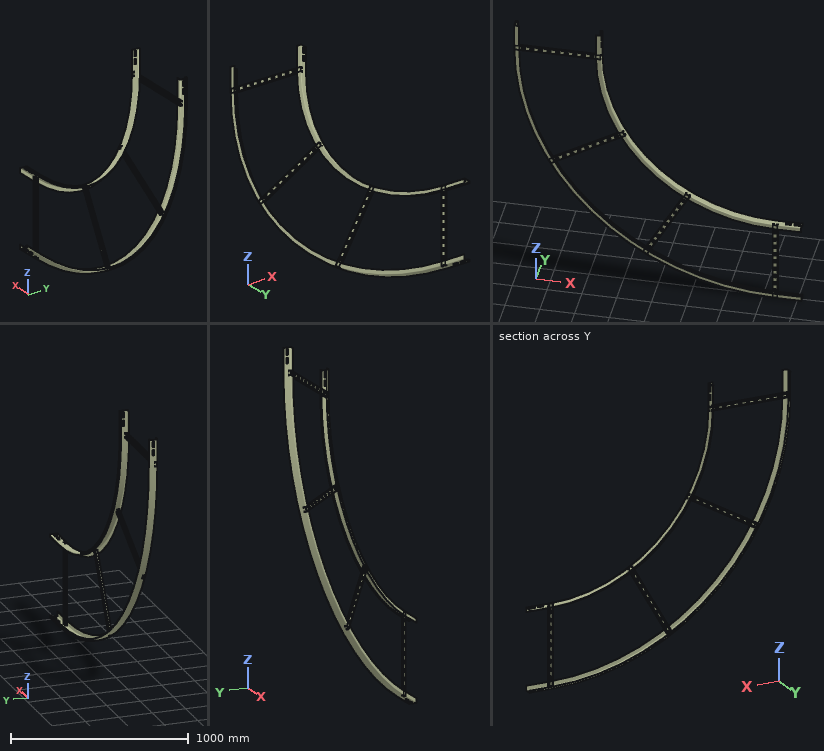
import cadquery as cq
overall_size = 1650.0
leg_length = 150.0
ladder_width = 500.0
outer_web_radius = overall_size - leg_length
inner_web_radius = outer_web_radius - ladder_width
bend_angle = 90.0

rail_height = 50.0
rail_wall = 2.0
front_flange_width = 30.0
back_flange_width = 13.0
back_lip_height = 8.0
inside_bend_radius = 2.0
outside_bend_radius = inside_bend_radius + rail_wall

web_slot_length = 33.0
web_slot_width = 10.0
web_slot_pitch = 50.0
web_slot_count = 2
web_slot_setback = 28.0

rung_count = 4
rung_width = 30.0
rung_depth = 15.0
rung_wall = 2.0
rung_lip = 7.0
rung_length = ladder_width - 2 * outside_bend_radius
rung_slot_length = 20.0
rung_slot_width = 7.0
rung_slot_pitch = 50.0
rung_slot_count = 9


def rail_section(web_radius, opening):
    """Channel section at x = -web_radius; opening is +1 or -1, the X direction it faces."""
    web_side = "<X" if opening > 0 else ">X"
    web_x = -web_radius
    outside_middle = web_x + opening * front_flange_width / 2
    section = (
        cq.Sketch()
        .push([(outside_middle, 0)])
        .rect(front_flange_width, rail_height)
        .reset()
        .vertices(web_side)
        .fillet(outside_bend_radius)
        .reset()
    )
    hollow = (
        cq.Sketch()
        .push([(outside_middle + opening * rail_wall, 0)])
        .rect(front_flange_width, rail_height - 2 * rail_wall)
        .reset()
        .vertices(web_side)
        .fillet(inside_bend_radius)
        .reset()
    )
    trim_middle = web_x + opening * (back_flange_width + front_flange_width / 2)
    lip_x = web_x + opening * (back_flange_width - rail_wall / 2)
    lip_y = (rail_height - back_lip_height) / 2
    return (
        section.face(hollow, mode="s")
        .push([(trim_middle, rail_height / 2)])
        .rect(front_flange_width, rail_height / 2, mode="s")
        .reset()
        .push([(lip_x, lip_y)])
        .rect(rail_wall, back_lip_height)
        .reset()
        .clean()
    )


def web_slots(web_radius):
    """Slots through the web of the leg that runs along +Z."""
    first = leg_length - web_slot_setback
    centres = [(0, first - i * web_slot_pitch) for i in range(web_slot_count)]
    return (
        cq.Workplane("YZ", origin=(-web_radius, 0, 0))
        .pushPoints(centres)
        .slot2D(web_slot_length, web_slot_width, 90)
        .extrude(2 * rail_wall, both=True)
    )


def make_rail(web_radius, opening):
    section = rail_section(web_radius, opening)
    bend = cq.Workplane("XY").placeSketch(section).revolve(bend_angle, (0, 0, 0), (0, -1, 0))
    leg = cq.Workplane("XY").placeSketch(section).extrude(leg_length).cut(web_slots(web_radius))
    second_leg = leg.mirror(cq.Vector(1, 0, -1))
    return bend.union(leg).union(second_leg)


def make_rung(angle):
    """Rung along the radius that is turned by angle from the -X direction."""
    front = rail_wall - rail_height / 2
    middle_radius = inner_web_radius + ladder_width / 2
    mouth = rung_width - 2 * rung_lip

    channel = (
        cq.Workplane("XY")
        .box(rung_length, rung_depth, rung_width)
        .edges("|X")
        .fillet(rung_wall)
    )
    hollow = cq.Workplane("XY").box(
        rung_length, rung_depth - 2 * rung_wall, rung_width - 2 * rung_wall
    )
    opening = cq.Workplane("XY").box(rung_length, rung_depth, mouth).translate((0, rung_wall, 0))
    slots = (
        cq.Workplane("XZ")
        .rarray(rung_slot_pitch, 16, rung_slot_count, 1)
        .slot2D(rung_slot_length, rung_slot_width)
        .extrude(rung_depth)
    )
    rung = channel.cut(hollow).cut(opening).cut(slots)
    placed = rung.translate((-middle_radius, front + rung_depth / 2, 0))
    return placed.rotate((0, 0, 0), (0, 1, 0), -angle)


outer_rail = make_rail(outer_web_radius, 1)
inner_rail = make_rail(inner_web_radius, -1)

rungs = []
for index in range(rung_count):
    rungs.append(make_rung(bend_angle * index / (rung_count - 1)))

result = cq.Compound.makeCompound(
    [outer_rail.val(), inner_rail.val(), *[rung.val() for rung in rungs]]
)